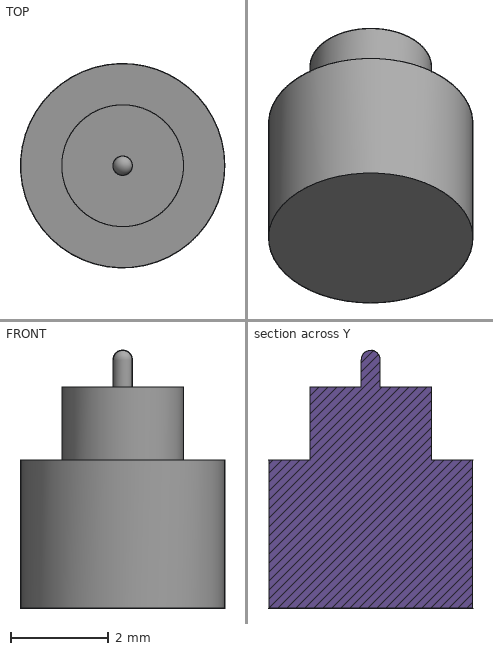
import cadquery as cq

total_height = 5.3
body_diameter = 4.2
body_height = 3.05
neck_diameter = 2.5
neck_height = 1.5
pin_diameter = 0.4

pin_radius = pin_diameter / 2
neck_top = body_height + neck_height
pin_height = total_height - neck_top

body = cq.Workplane("XY").circle(body_diameter / 2).extrude(body_height)

neck = cq.Workplane("XY").workplane(offset=body_height).circle(neck_diameter / 2).extrude(neck_height)

pin = (
    cq.Workplane("XY")
    .workplane(offset=neck_top)
    .circle(pin_radius)
    .extrude(pin_height - pin_radius)
)
tip = cq.Workplane("XY").workplane(offset=total_height - pin_radius).sphere(pin_radius)

result = body.union(neck).union(pin).union(tip)